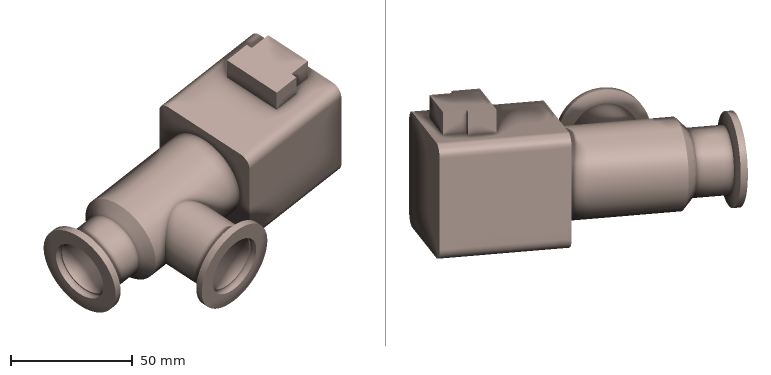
import cadquery as cq


overall_length = 132.0
housing_length = 50.0
plate_thickness = 6.0
tube_length = overall_length - housing_length - plate_thickness
taper_start = 20.0
taper_end = 25.0

housing_side = 50.0
corner_radius = 5.0
housing_front = tube_length + plate_thickness

tube_diameter = 39.1
port_diameter = 29.0
side_port_y = 45.0
side_port_reach = 45.0

flange_diameter = 40.0
flange_rim = 3.0
flange_height = 4.5
bore_diameter = 25.0
recess_diameter = 26.4
recess_depth = 3.0

connector_height = 10.0
connector_width = 27.6
connector_narrow_width = 22.0
connector_length = 22.0
connector_narrow_length = 10.0
connector_back_gap = 5.0


def square_block(front, length):
    """Square block centred on the main axis, with rounded long edges."""
    return (
        cq.Workplane("XZ", origin=(0, front, 0))
        .rect(housing_side, housing_side)
        .extrude(-length)
        .edges("|Y")
        .fillet(corner_radius)
    )


def flange_outline(start):
    """Continue a profile from the flange face up to the foot of its conical back."""
    return (
        start.lineTo(flange_diameter / 2, 0)
        .lineTo(flange_diameter / 2, flange_rim)
        .lineTo(port_diameter / 2, flange_height)
    )


def main_pipe():
    """Flange, neck, taper and tube turned about the Y axis."""
    return (
        flange_outline(cq.Workplane("XY"))
        .lineTo(port_diameter / 2, taper_start)
        .lineTo(tube_diameter / 2, taper_end)
        .lineTo(tube_diameter / 2, tube_length)
        .lineTo(0, tube_length)
        .close()
        .revolve(360, (0, 0, 0), (0, 1, 0))
    )


def side_port():
    """Flange and neck turned about the side port axis, reaching in to the main axis."""
    port_plane = cq.Plane(origin=(side_port_reach, side_port_y, 0), xDir=(0, 1, 0), normal=(0, 0, 1))
    return (
        flange_outline(cq.Workplane(port_plane))
        .lineTo(port_diameter / 2, side_port_reach)
        .lineTo(0, side_port_reach)
        .close()
        .revolve(360, (0, 0, 0), (0, 1, 0))
    )


def port_bore(face_plane, depth):
    """Bore with a shallow centring recess; the plane's normal points into the port."""
    bore = cq.Workplane(face_plane).circle(bore_diameter / 2).extrude(depth)
    recess = cq.Workplane(face_plane).circle(recess_diameter / 2).extrude(recess_depth)
    return bore.union(recess)


def make_valve_body():
    """Pipe, side port and mounting plate in one piece, with both bores meeting inside."""
    main_face = cq.Plane(origin=(0, 0, 0), xDir=(1, 0, 0), normal=(0, 1, 0))
    side_face = cq.Plane(origin=(side_port_reach, side_port_y, 0), xDir=(0, 1, 0), normal=(-1, 0, 0))
    plate = square_block(tube_length, plate_thickness)
    return (
        main_pipe()
        .union(side_port())
        .union(plate)
        .cut(port_bore(main_face, tube_length))
        .cut(port_bore(side_face, side_port_reach))
    )


def make_housing():
    """Actuator housing, resting on the mounting plate."""
    return square_block(housing_front, housing_length)


def make_connector():
    """Stepped connector: a narrow rear part and a wide front part."""
    back = overall_length - connector_back_gap
    front = back - connector_length
    step = back - connector_narrow_length
    wide = connector_width / 2
    narrow = connector_narrow_width / 2
    return (
        cq.Workplane("XY", origin=(0, 0, housing_side / 2))
        .moveTo(-wide, front)
        .lineTo(wide, front)
        .lineTo(wide, step)
        .lineTo(narrow, step)
        .lineTo(narrow, back)
        .lineTo(-narrow, back)
        .lineTo(-narrow, step)
        .lineTo(-wide, step)
        .close()
        .extrude(connector_height)
    )


valve_body = make_valve_body()
housing = make_housing()
connector = make_connector()

result = cq.Compound.makeCompound([valve_body.solids().val(), housing.val(), connector.val()])